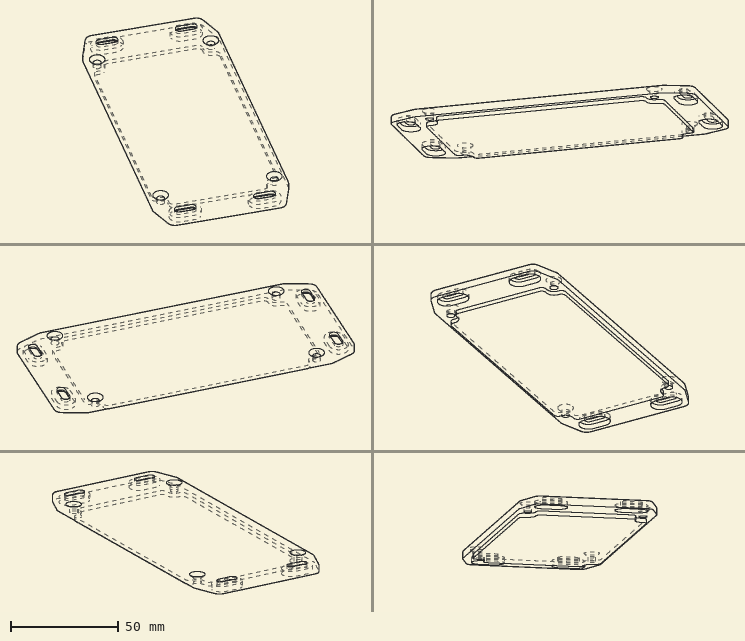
import cadquery as cq
import math

plate_length = 149.0
plate_width = 66.0
total_height = 6.0
lip_height = 2.0
plate_thickness = total_height - lip_height
taper_length = 13.7
taper_angle = 21.0
outline_radius = 4.0
top_fillet = 1.0

screw_x = 55.0
screw_y = 27.5
screw_diameter = 3.7
countersink_diameter = 7.3
countersink_angle = 90.0

slot_x = 67.8
slot_y = 19.2
slot_length = 10.5
slot_width = 4.0
slot_floor_thickness = 1.5
slot_recess_margin = 2.5

lip_length = 116.5
lip_width = 61.0
notch_radius = 3.7
lip_corner_radius = 2.2


def four_corners(x, y):
    return [(sx * x, sy * y) for sx in (-1, 1) for sy in (-1, 1)]


def make_plate():
    half_length = plate_length / 2
    half_width = plate_width / 2
    taper_x = half_length - taper_length
    taper_y = half_width - taper_length * math.tan(math.radians(taper_angle))
    outline = [
        (half_length, -taper_y),
        (half_length, taper_y),
        (taper_x, half_width),
        (-taper_x, half_width),
        (-half_length, taper_y),
        (-half_length, -taper_y),
        (-taper_x, -half_width),
        (taper_x, -half_width),
    ]
    plate = cq.Workplane("XY").workplane(offset=lip_height).polyline(outline).close()
    plate = plate.extrude(plate_thickness).edges("|Z").fillet(outline_radius)
    return plate.faces(">Z").edges().fillet(top_fillet)


def make_lip():
    """Rectangle whose corners are cut away by a notch that rounds each screw."""
    half_length = lip_length / 2
    half_width = lip_width / 2
    inner_x = screw_x - notch_radius
    inner_y = screw_y - notch_radius
    long_bar = cq.Workplane("XY").rect(2 * half_length, 2 * inner_y).extrude(lip_height)
    wide_bar = cq.Workplane("XY").rect(2 * inner_x, 2 * half_width).extrude(lip_height)
    lip = long_bar.union(wide_bar)
    lip = fillet_corners(lip, inner_x, inner_y, notch_radius)
    lip = fillet_corners(lip, half_length, inner_y, lip_corner_radius)
    return fillet_corners(lip, inner_x, half_width, lip_corner_radius)


def fillet_corners(body, x, y, radius):
    """Round the four vertical edges at (+-x, +-y)."""
    for corner_x, corner_y in four_corners(x, y):
        edge_middle = (corner_x, corner_y, lip_height / 2)
        body = body.edges("|Z").edges(cq.selectors.NearestToPointSelector(edge_middle)).fillet(radius)
    return body


def cut_screw_holes(body):
    return (
        body.faces(">Z")
        .workplane(origin=(0, 0, total_height))
        .pushPoints(four_corners(screw_x, screw_y))
        .cskHole(screw_diameter, countersink_diameter, countersink_angle)
    )


def make_slots(margin, height):
    """Four upright slots standing on Z = 0, each grown by a margin all round."""
    return (
        cq.Workplane("XY")
        .pushPoints(four_corners(slot_x, slot_y))
        .slot2D(slot_length + 2 * margin, slot_width + 2 * margin, angle=90)
        .extrude(height)
    )


def cut_slots(body):
    through_slots = make_slots(0, total_height)
    recesses = make_slots(slot_recess_margin, total_height - slot_floor_thickness)
    return body.cut(through_slots).cut(recesses)


result = make_plate().union(make_lip())
result = cut_screw_holes(result)
result = cut_slots(result)